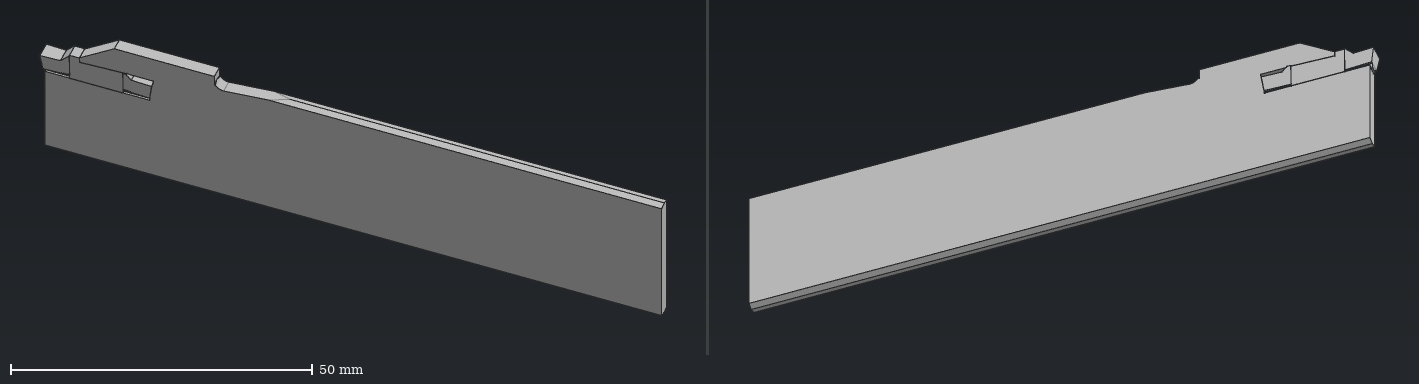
import cadquery as cq

length = 111.0
blade_front = 0.8
blade_thickness = 2.3
clamp_top = 27.1
blade_top = 25.4
ridge_height = 0.3
nose_start_x = 7.0
nose_end_x = 13.2
step_x = 31.1

relief_depth = 1.1
relief_length = 1.7
relief_radius = 1.9
relief_end_x = 44.2

insert_length = 20.0
insert_width = 3.0
head_back_taper = 0.08
head_down_taper = 0.16
edge_z = 21.1
head_base_z = 18.0
rake_length = 3.7
head_length = 5.2
shoulder_z = 22.8
body_width = 2.4
body_inset = 0.4
heel_z = 17.4

clamp_front_z = 21.8
clamp_rear_z = 22.1
relief_gap_x = 20.2
keel_top_width = 1.8
keel_width = 1.3
keel_depth = 0.3

relief_z = blade_top - relief_depth
body_end = insert_length - body_inset
head_rear_x = insert_length - head_length


def plate(points, width):
    """Extrude an XZ outline symmetrically about Y = 0."""
    return cq.Workplane("XZ").polyline(points).close().extrude(width / 2, both=True)


def keel():
    """Tapered rib under the insert that locates it sideways."""
    half_top = keel_top_width / 2
    half_bottom = keel_width / 2
    section = [
        (-half_top, head_base_z),
        (half_top, head_base_z),
        (half_bottom, heel_z - keel_depth),
        (-half_bottom, heel_z - keel_depth),
    ]
    rib = cq.Workplane("YZ", origin=(body_inset, 0, 0)).polyline(section).close()
    return rib.extrude(body_end - body_inset)


def head_section(x):
    """YZ outline of the head's tapered envelope at distance x from the tip."""
    edge_width = insert_width - head_back_taper * x
    half_top = (edge_width + head_down_taper * (shoulder_z - edge_z)) / 2
    half_base = (edge_width - head_down_taper * (edge_z - head_base_z)) / 2
    return [
        (-half_base, head_base_z),
        (half_base, head_base_z),
        (half_top, shoulder_z),
        (-half_top, shoulder_z),
    ]


def front_head():
    """Cutting head: side faces taper inwards to the rear and downwards."""
    profile = plate(
        [
            (0, edge_z),
            (rake_length, edge_z),
            (head_length, shoulder_z),
            (head_length, head_base_z),
            (body_inset, head_base_z),
        ],
        insert_width,
    )
    tapered = (
        cq.Workplane("YZ")
        .polyline(head_section(0))
        .close()
        .workplane(offset=head_length)
        .polyline(head_section(head_length))
        .close()
        .loft(ruled=True)
    )
    return profile.intersect(tapered)


def make_insert():
    body = plate(
        [
            (head_length, heel_z),
            (head_rear_x, heel_z),
            (head_rear_x, clamp_rear_z),
            (nose_start_x, clamp_front_z),
            (nose_start_x, shoulder_z),
            (head_length, shoulder_z),
        ],
        body_width,
    )
    front = front_head()
    rear = front.mirror("YZ").translate((insert_length, 0, 0))
    below_clamp = cq.Workplane("XY").box(
        insert_length, insert_width, clamp_rear_z, centered=(False, True, False)
    )
    return body.union(keel()).union(front).union(rear.intersect(below_clamp))


def seat():
    """Through opening for the insert, with a groove for its keel."""
    opening = plate(
        [
            (0, heel_z),
            (body_end, heel_z),
            (body_end, head_base_z),
            (insert_length, edge_z),
            (relief_gap_x, clamp_rear_z),
            (head_rear_x, clamp_rear_z),
            (nose_start_x, clamp_front_z),
            (nose_start_x, shoulder_z),
            (0, shoulder_z),
        ],
        insert_width,
    )
    return opening.union(keel())


def make_blade():
    outline = (
        cq.Workplane("XZ")
        .moveTo(blade_front, 0)
        .lineTo(length, 0)
        .lineTo(length, blade_top)
        .lineTo(relief_end_x, blade_top)
        .lineTo(step_x + relief_length, relief_z)
        .radiusArc((step_x, relief_z + relief_depth), relief_radius)
        .lineTo(step_x, clamp_top)
        .lineTo(nose_end_x, clamp_top)
        .lineTo(nose_start_x, shoulder_z)
        .lineTo(blade_front, shoulder_z)
        .close()
        .extrude(blade_thickness / 2, both=True)
    )
    half = blade_thickness / 2
    ridged_section = [
        (0, 0),
        (half, ridge_height),
        (half, blade_top - ridge_height),
        (0, blade_top),
        (-half, blade_top - ridge_height),
        (-half, ridge_height),
    ]
    ridged_bar = cq.Workplane("YZ").polyline(ridged_section).close().extrude(length)
    clamp_zone = cq.Workplane("XY", origin=(0, 0, heel_z)).box(
        step_x, blade_thickness, clamp_top - heel_z, centered=(False, True, False)
    )
    return outline.intersect(ridged_bar.union(clamp_zone)).cut(seat())


insert = make_insert()
blade = make_blade()
result = cq.Compound.makeCompound([blade.solids().val(), insert.solids().val()])